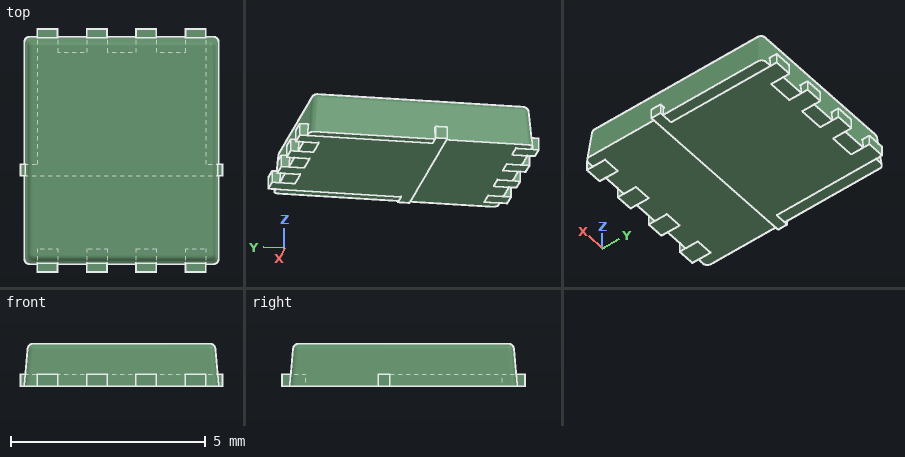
import cadquery as cq

overall_x = 5.2
overall_y = 6.25
overall_z = 1.1

housing_x = 5.0
housing_y = 5.85
wall_draft = 5.0
edge_radius = 0.15

metal_thickness = 0.31
lead_count = 4
lead_pitch = 1.27
lead_width = 0.525
lead_length = 0.6
tie_bar_width = 0.3
tie_bar_y = -0.5
front_end = -1
back_end = 1

lead_x_positions = [(i - (lead_count - 1) / 2) * lead_pitch for i in range(lead_count)]
outer_lead_edge = lead_x_positions[-1] + lead_width / 2


def metal_block(x_min, x_max, y_min, y_max):
    """Flat metal block lying on the seating plane."""
    return (
        cq.Workplane("XY")
        .box(x_max - x_min, y_max - y_min, metal_thickness, centered=False)
        .translate((x_min, y_min, 0))
    )


def make_lead(x, tip_side):
    """Lead centred on x, with its tip at the -Y or +Y end of the part."""
    tip = tip_side * overall_y / 2
    buried_end = tip - tip_side * lead_length
    return metal_block(
        x - lead_width / 2, x + lead_width / 2, min(tip, buried_end), max(tip, buried_end)
    )


def make_drain_pad():
    """Pad as wide as the lead row, with its leads and the two side tie bars."""
    tie_bar_front = tie_bar_y - tie_bar_width / 2
    tie_bar_back = tie_bar_y + tie_bar_width / 2
    pad_back = overall_y / 2 - lead_length
    pad = metal_block(-outer_lead_edge, outer_lead_edge, tie_bar_front, pad_back)
    pad = pad.union(metal_block(-overall_x / 2, overall_x / 2, tie_bar_front, tie_bar_back))
    for x in lead_x_positions:
        pad = pad.union(make_lead(x, back_end))
    return pad


def make_housing(metal_bodies):
    """Drafted, rounded block with pockets that match the metal bodies."""
    block = cq.Workplane("XY").rect(housing_x, housing_y).extrude(overall_z, taper=wall_draft)
    block = block.edges("not(#Z)").fillet(edge_radius)
    block = block.faces(">Z").edges().fillet(edge_radius)
    for body in metal_bodies:
        block = block.cut(body)
    return block


leads = [make_lead(x, front_end) for x in lead_x_positions]
drain_pad = make_drain_pad()
housing = make_housing([*leads, drain_pad])

result = cq.Compound.makeCompound(
    [housing.solids().val(), drain_pad.solids().val(), *[lead.val() for lead in leads]]
)